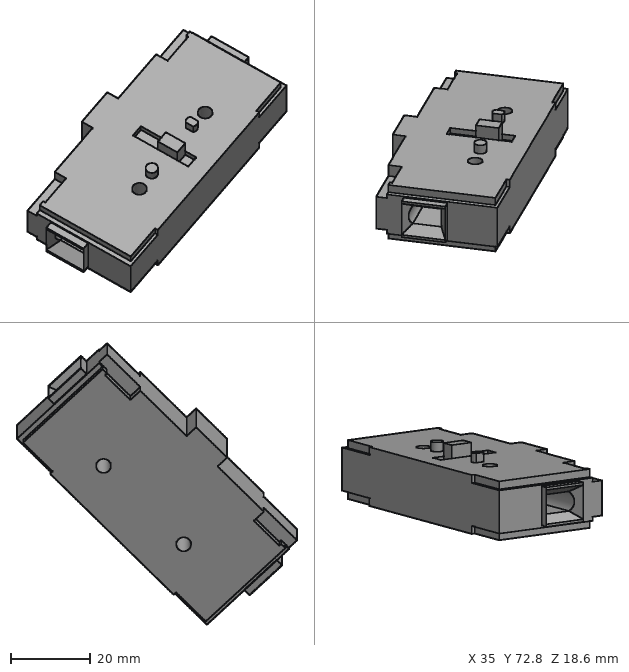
import cadquery as cq
import math

total_length = 72.8
body_width = 31.7
body_length = 68.7
body_height = 15.15
body_mid_z = body_height / 2

rib_depth = 3.35
rib_length = 11.2

step_drop = 2.05
end_step_depth = 1.3
right_step_depth = 0.9
corner_length = 12.0

notch_drop = 3.05
notch_width = 3.5
notch_end_width = 2.85
notch_end_length = 2.85

nozzle_left_x = 7.2
nozzle_width = 11.4
nozzle_height = 10.1
nozzle_bottom_z = 2.6
nozzle_lip = 0.65
nozzle_mid_x = nozzle_left_x + nozzle_width / 2
nozzle_mid_z = nozzle_bottom_z + nozzle_height / 2

funnel_depth = 3.5
duct_width = 7.4
duct_height = 5.0
middle_wall = 3.4
duct_left_x = nozzle_mid_x - duct_width / 2

slot_left_x = 9.7
slot_length = 16.95
slot_width = 3.5
slot_depth = 1.5
knob_left_x = 17.3
knob_length = 6.0
knob_height = 3.4

pin_x = 20.4
pin_offset_y = 8.8
pin_diameter = 3.1
pin_height = 2.4
flat_pin_thickness = 2.1
hole_x = 20.5
hole_offset_y = 14.5
hole_diameter = 3.7


def block(x_min, x_max, y_min, y_max, z_min, z_max):
    """Box between the given limits."""
    box = cq.Workplane("XY").box(x_max - x_min, y_max - y_min, z_max - z_min, centered=False)
    return box.translate((x_min, y_min, z_min))


def mirrored_in_y(shape):
    """The shape together with its mirror image across Y = 0."""
    return shape.union(shape.mirror("XZ"))


def cut_z_limits(z_side, drop):
    """Limits in Z of a cut of the given drop at the top (+1) or the underside (-1)."""
    if z_side > 0:
        return body_height - drop, body_height
    return 0, drop


def edge_relief(z_side):
    """Steps and notches at the -Y end, on the top (+1) or the underside (-1)."""
    end_y = -body_length / 2
    corner_y = end_y + corner_length
    step_z = cut_z_limits(z_side, step_drop)
    notch_z = cut_z_limits(z_side, notch_drop)
    relief = block(0, body_width, end_y, end_y + end_step_depth, *step_z)
    relief = relief.union(block(body_width - right_step_depth, body_width, end_y, corner_y, *step_z))
    relief = relief.union(block(0, notch_end_width, end_y, corner_y, *notch_z))
    return relief.union(block(0, notch_width, end_y + notch_end_length, corner_y, *notch_z))


def nozzle():
    """Rectangular nozzle block on the -Y end."""
    return block(
        nozzle_left_x,
        nozzle_left_x + nozzle_width,
        -total_length / 2,
        -body_length / 2,
        nozzle_bottom_z,
        nozzle_bottom_z + nozzle_height,
    )


def nozzle_passage():
    """Funnel narrowing from the nozzle mouth, with the straight duct behind it."""
    mouth_y = -total_length / 2
    duct_y = mouth_y + funnel_depth
    duct_end_y = -middle_wall / 2
    funnel = (
        cq.Workplane("XZ", origin=(nozzle_mid_x, mouth_y, nozzle_mid_z))
        .rect(nozzle_width, nozzle_height - 2 * nozzle_lip)
        .workplane(offset=-funnel_depth)
        .center(0, body_mid_z - nozzle_mid_z)
        .rect(duct_width, duct_height)
        .loft(ruled=True)
    )
    duct = block(
        duct_left_x,
        duct_left_x + duct_width,
        duct_y,
        duct_end_y,
        body_mid_z - duct_height / 2,
        body_mid_z + duct_height / 2,
    )
    return funnel.union(duct)


def side_passage():
    """Through passage left of the ducts: a segment of the circle around the duct corners."""
    bore_radius = math.hypot(duct_width / 2, duct_height / 2)
    bottom_z = body_mid_z - duct_height / 2
    top_z = body_mid_z + duct_height / 2
    return (
        cq.Workplane("XZ", origin=(0, total_length / 2, 0))
        .moveTo(duct_left_x, bottom_z)
        .threePointArc((nozzle_mid_x - bore_radius, body_mid_z), (duct_left_x, top_z))
        .close()
        .extrude(total_length)
    )


def pin(y):
    """Round pin on the top face."""
    top = cq.Workplane("XY", origin=(pin_x, y, body_height))
    return top.circle(pin_diameter / 2).extrude(pin_height)


def flat_pin(y):
    """Pin with a flat on its +Y and -Y sides."""
    top = cq.Workplane("XY", origin=(pin_x, y, body_height))
    return pin(y).intersect(top.rect(pin_diameter, flat_pin_thickness).extrude(pin_height))


body = block(0, body_width, -body_length / 2, body_length / 2, 0, body_height)
for side in (1, -1):
    body = body.cut(mirrored_in_y(edge_relief(side)))
body = body.union(block(-rib_depth, 0, -rib_length / 2, rib_length / 2, 0, body_height))
body = body.union(mirrored_in_y(nozzle()))

body = body.cut(mirrored_in_y(nozzle_passage()))
body = body.cut(side_passage())

slot_floor_z = body_height - slot_depth
slot_y = slot_width / 2
body = body.cut(block(slot_left_x, slot_left_x + slot_length, -slot_y, slot_y, slot_floor_z, body_height))
knob_top_z = body_height + knob_height
body = body.union(block(knob_left_x, knob_left_x + knob_length, -slot_y, slot_y, slot_floor_z, knob_top_z))

body = body.union(pin(-pin_offset_y)).union(flat_pin(pin_offset_y))
holes = (
    cq.Workplane("XY")
    .pushPoints([(hole_x, -hole_offset_y), (hole_x, hole_offset_y)])
    .circle(hole_diameter / 2)
    .extrude(body_height)
)
result = body.cut(holes)